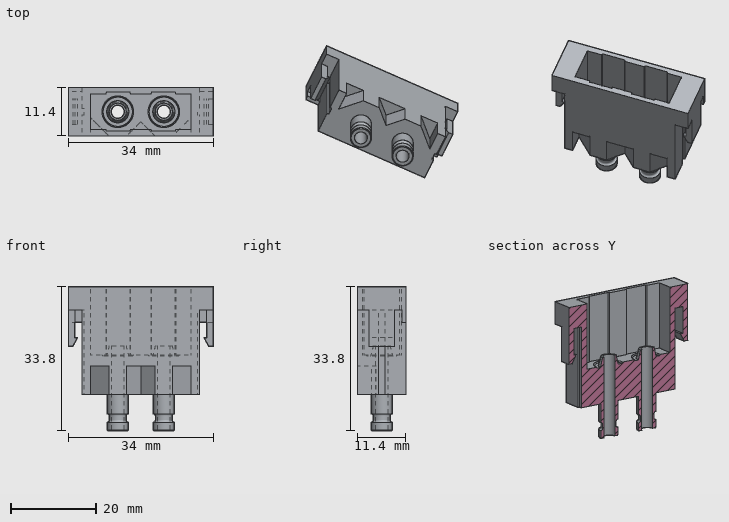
import cadquery as cq


rim_length = 34.0
rim_height = 5.5
body_length = 27.6
depth = 11.41
body_height = 25.3
back_y = depth / 2
front_y = -depth / 2

tab_thickness = 1.0
tab_drop = 2.9

latch_width = 6.0
latch_thickness = 1.55
latch_bottom = 14.0
latch_foot = 1.1
barb_top = 11.95
barb_reach = 0.65

groove_width = 1.6
groove_depth = 0.45

pocket_length = 23.5
pocket_width = 8.4
pocket_depth = 16.0
recess_spacing = 10.6
recess_bottom_length = 5.5
recess_mouth_length = 5.8
recess_depth = 0.37

contact_spacing = 10.8
key_width = 4.1
notch_height = 6.7
side_notch_width = 4.35

contact_bottom = 33.8
contact_radius = 2.5
bore_radius = 1.5
neck_radius = 2.0
neck_top = 29.8
neck_bottom = 31.8
tail_chamfer = 0.2
nose_base_radius = 2.6
nose_tip_radius = 2.0
nose_height = 2.3
seat_top_radius = 3.7
seat_floor_radius = 3.43
neck_fillet = contact_radius - neck_radius
seat_depth = seat_top_radius - seat_floor_radius
seat_z = -pocket_depth - seat_depth
nose_tip_z = seat_z + nose_height

contact_xs = (-contact_spacing / 2, contact_spacing / 2)


def block(x_min, x_max, y_min, y_max, z_min, z_max):
    """Box given by its limits along each axis."""
    size = (x_max - x_min, y_max - y_min, z_max - z_min)
    return cq.Workplane("XY").box(*size, centered=False).translate((x_min, y_min, z_min))


def both_ends(right_end):
    """The given +X end feature together with its mirror image at the -X end."""
    return right_end.union(right_end.mirror("YZ"))


def make_housing():
    half_rim = rim_length / 2
    half_body = body_length / 2
    rim = block(-half_rim, half_rim, front_y, back_y, -rim_height, 0)
    body = block(-half_body, half_body, front_y, back_y, -body_height, 0)
    return rim.union(body)


def make_tab():
    tab_bottom = -rim_height - tab_drop
    return block(body_length / 2, rim_length / 2, back_y - tab_thickness, back_y, tab_bottom, -rim_height)


def make_latch():
    outer_x = rim_length / 2
    inner_x = outer_x - latch_thickness
    profile = [
        (outer_x, -rim_height),
        (outer_x, -latch_bottom),
        (outer_x - latch_foot, -latch_bottom),
        (inner_x - barb_reach, -barb_top),
        (inner_x, -barb_top),
        (inner_x, -rim_height),
    ]
    return cq.Workplane("XZ").polyline(profile).close().extrude(latch_width / 2, both=True)


def make_groove():
    end_x = body_length / 2
    half_width = groove_width / 2
    return block(end_x - groove_depth, end_x, -half_width, half_width, -body_height, -rim_height)


def make_pocket():
    pocket = cq.Workplane("XY").rect(pocket_length, pocket_width).extrude(-pocket_depth)
    half_mouth = recess_mouth_length / 2
    half_bottom = recess_bottom_length / 2
    mouth_y = pocket_width / 2
    bottom_y = mouth_y + recess_depth
    outline = [
        (-half_mouth, -mouth_y),
        (-half_bottom, -bottom_y),
        (half_bottom, -bottom_y),
        (half_mouth, -mouth_y),
        (half_mouth, mouth_y),
        (half_bottom, bottom_y),
        (-half_bottom, bottom_y),
        (-half_mouth, mouth_y),
    ]
    recess = cq.Workplane("XY").polyline(outline).close().extrude(-pocket_depth)
    for x in (-recess_spacing / 2, recess_spacing / 2):
        pocket = pocket.union(recess.translate((x, 0, 0)))
    return pocket


def notch_prism(corners):
    """Notch of the given plan outline, rising from the underside of the body."""
    prism = cq.Workplane("XY").polyline(corners).close().extrude(notch_height)
    return prism.translate((0, 0, -body_height))


def make_center_notch():
    half_width = (contact_spacing - key_width) / 2
    return notch_prism([(-half_width, front_y), (half_width, front_y), (0, front_y + half_width)])


def make_side_notch():
    inner_x = (contact_spacing + key_width) / 2
    outer_x = inner_x + side_notch_width
    return notch_prism([(inner_x, front_y), (outer_x, front_y), (outer_x, front_y + side_notch_width)])


def make_contact_seat():
    """Conical seat around a contact in the pocket floor."""
    profile = [(0, -pocket_depth), (seat_top_radius, -pocket_depth), (seat_floor_radius, seat_z), (0, seat_z)]
    return cq.Workplane("XZ").polyline(profile).close().revolve(360, (0, 0, 0), (0, 1, 0))


def make_contact():
    """Hollow pin with a conical nose above the seat and a filleted neck below the body."""
    profile = (
        cq.Workplane("XZ")
        .moveTo(bore_radius, nose_tip_z)
        .lineTo(nose_tip_radius, nose_tip_z)
        .lineTo(nose_base_radius, seat_z)
        .lineTo(contact_radius, seat_z)
        .lineTo(contact_radius, -neck_top)
        .radiusArc((neck_radius, -neck_top - neck_fillet), -neck_fillet)
        .lineTo(neck_radius, -neck_bottom + neck_fillet)
        .radiusArc((contact_radius, -neck_bottom), -neck_fillet)
        .lineTo(contact_radius, -contact_bottom + tail_chamfer)
        .lineTo(contact_radius - tail_chamfer, -contact_bottom)
        .lineTo(bore_radius, -contact_bottom)
        .close()
    )
    return profile.revolve(360, (0, 0, 0), (0, 1, 0))


def make_bore():
    return cq.Workplane("XY").circle(bore_radius).extrude(-contact_bottom)


result = make_housing()
result = result.union(both_ends(make_tab()))
result = result.union(both_ends(make_latch()))
result = result.cut(both_ends(make_groove()))
result = result.cut(make_pocket())
result = result.cut(make_center_notch())
result = result.cut(both_ends(make_side_notch()))
for contact_x in contact_xs:
    offset = (contact_x, 0, 0)
    result = result.cut(make_contact_seat().translate(offset))
    result = result.union(make_contact().translate(offset))
    result = result.cut(make_bore().translate(offset))